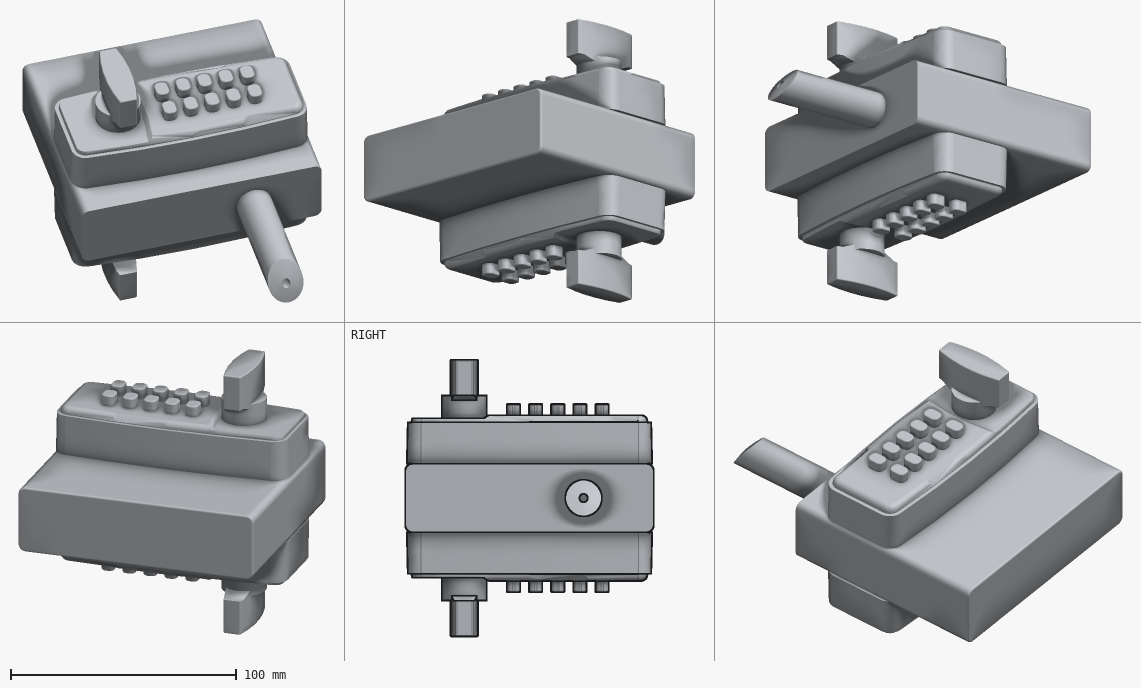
import cadquery as cq
import math


case_left = -63.6
case_right = 34.1
case_depth = 110.0
case_thickness = 30.4
case_long_edge_radius = 3.2
case_back_edge_radius = 1.0
bolt_tip = 90.8
bolt_diameter = 16.2
bolt_y = 24.0
bolt_end_radius = 35.4
bolt_end_center_z = -19.3
bolt_hole_diameter = 3.7
bolt_hole_depth = 7.7

housing_length = 108.7
housing_mid_width = 43.8
housing_end_width = 40.0
housing_corner_radius = 6.8
housing_draft = 1.3
ledge_level = 33.5
keypad_level = 36.7
platform_level = 35.4
ledge_inset = 1.7
keypad_edge_radius = 3.0
step_y = -18.4
step_radius = 97.3
step_slope = 55.0

button_length = 7.9
button_width = 6.0
button_corner_radius = 2.5
button_edge_radius = 0.6
button_level = 41.7
button_columns = 2
button_rows = 5
column_pitch = 12.4
row_pitch = 39.2 / (button_rows - 1)
button_center_y = 12.5

knob_y = -28.9
shaft_diameter = 20.0
shaft_top = 45.4
grip_top = 61.3
grip_length = 34.0
grip_mid_width = 12.4
grip_end_width = 8.0
grip_edge_radius = 0.6
cone_height = 2.2
cone_diameter = 29.6

case_face = case_thickness / 2


def bulged_outline(level, length, mid_width, end_width, corner_radius):
    """Outline along X with straight ends, arched long sides and rounded corners.

    It is a sharp-cornered core, grown outward on all sides by the corner radius.
    """
    half_length = length / 2 - corner_radius
    half_mid = mid_width / 2 - corner_radius
    half_end = end_width / 2 - corner_radius
    return (
        cq.Workplane("XY", origin=(0, 0, level))
        .moveTo(-half_length, -half_end)
        .threePointArc((0, -half_mid), (half_length, -half_end))
        .lineTo(half_length, half_end)
        .threePointArc((0, half_mid), (-half_length, half_end))
        .close()
        .offset2D(corner_radius)
    )


def bolt_cylinder(diameter, start_x, end_x):
    """Cylinder on the bolt axis between two places along X."""
    return cq.Workplane("YZ", origin=(start_x, bolt_y, 0)).circle(diameter / 2).extrude(end_x - start_x)


def make_bolt():
    """Round bolt with a spherical slanted end and a blind hole in it."""
    tip_height = -bolt_diameter / 2 - bolt_end_center_z
    end_center_x = bolt_tip - math.sqrt(bolt_end_radius**2 - tip_height**2)
    end_on_axis = end_center_x + math.sqrt(bolt_end_radius**2 - bolt_end_center_z**2)
    end_ball = cq.Workplane("XY", origin=(end_center_x, bolt_y, bolt_end_center_z)).sphere(bolt_end_radius)
    straight_part = bolt_cylinder(bolt_diameter, case_right, end_center_x)
    end_part = bolt_cylinder(bolt_diameter, end_center_x, bolt_tip).intersect(end_ball)
    hole = bolt_cylinder(bolt_hole_diameter, end_on_axis - bolt_hole_depth, bolt_tip)
    return straight_part.union(end_part).cut(hole)


def make_case():
    """Lock case with rounded edges, in one piece with the bolt."""
    case_length = case_right - case_left
    block = (
        cq.Workplane("XY")
        .box(case_length, case_depth, case_thickness)
        .translate(((case_left + case_right) / 2, 0, 0))
        .edges("|X")
        .fillet(case_long_edge_radius)
        .faces("<X")
        .edges()
        .fillet(case_back_edge_radius)
    )
    return block.union(make_bolt())


def make_buttons():
    """All the push buttons, standing up from the keypad surface."""
    return (
        cq.Workplane("XY", origin=(0, button_center_y, keypad_level))
        .rarray(column_pitch, row_pitch, button_columns, button_rows)
        .rect(button_length, button_width)
        .extrude(button_level - keypad_level)
        .edges("|Z")
        .fillet(button_corner_radius)
        .faces(">Z")
        .edges()
        .fillet(button_edge_radius)
    )


def make_step_cut():
    """Space above the knob platform, closed by a sloping curved wall."""
    half_width = housing_mid_width
    front_y = -housing_length
    arc_drop = step_radius - math.sqrt(step_radius**2 - half_width**2)
    return (
        cq.Workplane("XY", origin=(0, 0, platform_level))
        .moveTo(-half_width, front_y)
        .lineTo(half_width, front_y)
        .lineTo(half_width, step_y - arc_drop)
        .threePointArc((0, step_y), (-half_width, step_y - arc_drop))
        .close()
        .extrude(keypad_level - platform_level, taper=-step_slope)
    )


def make_housing():
    """Keypad housing on the upper face: drafted body, raised rounded top, platform and buttons."""
    body_height = ledge_level - case_face
    outline = bulged_outline(
        case_face, housing_length, housing_mid_width, housing_end_width, housing_corner_radius
    )
    body = outline.extrude(body_height, taper=housing_draft).rotate((0, 0, 0), (0, 0, 1), 90)
    raised_top = (
        body.faces(">Z")
        .wires()
        .toPending()
        .offset2D(-ledge_inset)
        .extrude(keypad_level - ledge_level, combine=False)
        .faces(">Z")
        .edges()
        .fillet(keypad_edge_radius)
    )
    return body.union(raised_top).cut(make_step_cut()).union(make_buttons())


def make_knob():
    """Turn knob on the upper platform: round shaft and a bulged grip with a conical underside."""
    grip_bottom = shaft_top - cone_height
    outline = bulged_outline(grip_bottom, grip_length, grip_mid_width, grip_end_width, grip_edge_radius)
    bar = outline.extrude(grip_top - grip_bottom).faces(">Z").edges().fillet(grip_edge_radius)
    shaft_radius = shaft_diameter / 2
    grip_space = (
        cq.Workplane("XZ")
        .moveTo(0, grip_bottom)
        .lineTo(shaft_radius, grip_bottom)
        .lineTo(cone_diameter / 2, shaft_top)
        .lineTo(grip_length, shaft_top)
        .lineTo(grip_length, grip_top)
        .lineTo(0, grip_top)
        .close()
        .revolve(360, (0, 0, 0), (0, 1, 0))
    )
    shaft = (
        cq.Workplane("XY", origin=(0, 0, platform_level))
        .circle(shaft_radius)
        .extrude(shaft_top - platform_level)
    )
    return shaft.union(bar.intersect(grip_space)).translate((0, knob_y, 0))


case = make_case()
housing = make_housing()
knob = make_knob()
bodies = [case.val()]

for upper_body in (housing, knob):
    bodies.append(upper_body.val())
    bodies.append(upper_body.mirror("XY").val())

result = cq.Compound.makeCompound(bodies)